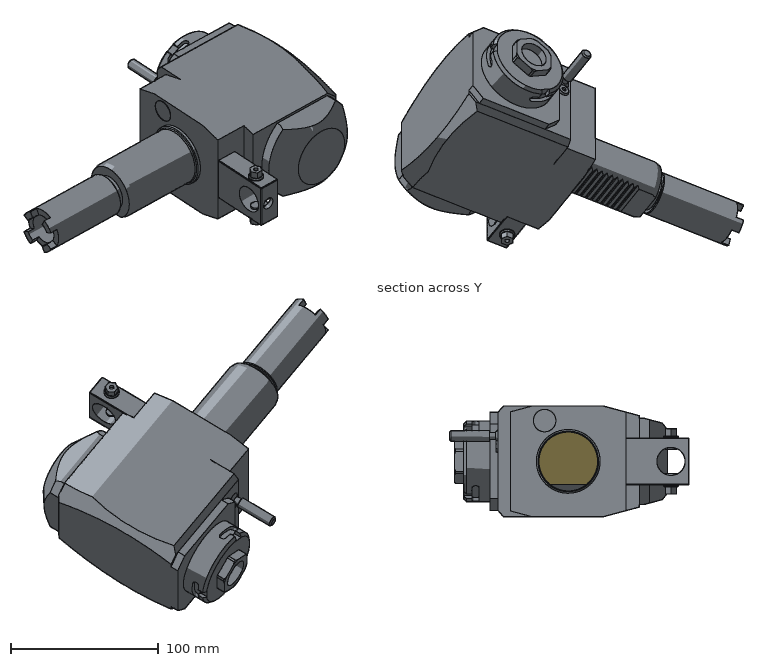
import cadquery as cq
import math


BODY_REAR = 103.25
BODY_HALF_HEIGHT = 37.5
BODY_LEFT = -47.5
BODY_RIGHT = 48.1
STEP_Y = 24.0
FOOT_HALF_WIDTH = 39.0
RIGHT_TAPER_START = 23.8
LEFT_TAPER_START = -24.4
TAPER_SLOPE = math.tan(math.radians(15))
LEFT_CHAMFER_X = 3.7
LEFT_CHAMFER_Z = 4.1
REAR_CHAMFER_X = 3.0
REAR_CHAMFER_Y = 3.5
REAR_CONE_X = -10.4
REAR_CONE_RADIUS = 135.0
REAR_CONE_REACH_Y = 98.85
PLUG_X = -16.0
PLUG_Z = 27.6
PLUG_RADIUS = 7.6
PLUG_RECESS = 0.3

SPINDLE_Y = 69.3
PLATE_LEFT = -53.0
PLATE_FRONT = 35.75
PLATE_CHAMFER = 8.2
NUT_LEFT = -70.8
NUT_RADIUS = 27.4
NUT_CHAMFER = 2.0
NUT_SLOT_COUNT = 3
NUT_SLOT_FLOOR = 24.8
NUT_NOTCH_WIDTH = 6.6
NUT_SLOT_X = -62.7
NUT_SLOT_WIDTH = 4.9
NUT_SLOT_SPAN = 42.0
NUT_SLOT_OFFSET = 2.2
HEX_LEFT = -77.0
HEX_ACROSS_FLATS = 26.8
HEX_CORNER_RADIUS = 15.0
HEX_CHAMFER = 0.8
HEX_BORE_RADIUS = 9.5
HEX_BORE_DEPTH = 6.0

CAP_RADIUS = 37.2
CAP_RIM_X = 55.0
CAP_RIGHT = 67.3
CAP_END_RADIUS = 21.3
CAP_HALF_HEIGHT = 29.2
CAP_TAPER_X = 51.5

NOZZLE_Y = 29.9
NOZZLE_Z = 17.2
NOZZLE_TIP_X = -80.5
NOZZLE_RADIUS = 3.6
NOZZLE_TIP_CHAMFER = 1.0
NOZZLE_SHOULDER_X = -53.4
NOZZLE_NECK_RADIUS = 2.5
NOZZLE_BASE_X = -49.3
NOZZLE_BASE_RADIUS = 4.3
SIDE_PLUG_Z = 10.2
SIDE_PLUG_RADIUS = 4.4
SIDE_PLUG_TOP_RADIUS = 3.7
SIDE_PLUG_HEIGHT = 1.3
SIDE_PLUG_SOCKET_RADIUS = 1.5

COLLAR_RADIUS = 21.6
COLLAR_END = -2.1
COLLAR_FOOT_RADIUS = 20.5
COLLAR_FOOT_Y = -2.5
COLLAR_TAPER_END = -3.5
SHANK_RADIUS = 20.0
SHANK_END = -63.0
SHANK_CHAMFER = 1.0
SHANK_CHAMFER_LENGTH = 3.4
SHANK_FLAT_Z = -15.7
FLAT_START = -4.0
FLAT_FULL = -9.9
TOOTH_GAP_COUNT = 10
TOOTH_PITCH = 4.0
TOOTH_GAP_FIRST = -11.4
TOOTH_GAP_HALF_WIDTH = 1.7
TOOTH_DEPTH = 1.5
NECK_RADIUS = 12.3
SHAFT_START = -66.9
SHAFT_RADIUS = 15.1
SHAFT_CHAMFER = 0.6
SHAFT_END = -130.0
CLAW_DEPTH = 5.6
CLAW_SLOT_COUNT = 4
CLAW_SLOT_HALF_ANGLE = 27.0
SHAFT_BORE_RADIUS = 10.4
SHAFT_BORE_DEPTH = 20.0

ARM_RIGHT = 81.83
ARM_HALF_HEIGHT = 15.9
ARM_FRONT = 0.5
ARM_REAR = 16.0
ARM_CHAMFER = 0.5
ARM_BORE_X = 69.5
ARM_BORE_RADIUS = 9.5
SCREW_Y = 7.0
ARM_END_HOLE_RADIUS = 4.2
SCREW_FLANGE_RADIUS = 5.2
SCREW_FLANGE_TOP = 17.3
SCREW_FLANGE_CHAMFER = 0.8
SCREW_HEAD_ACROSS_FLATS = 7.6
SCREW_TOP = 22.1
SCREW_SOCKET_RADIUS = 1.5
SCREW_SOCKET_DEPTH = 2.5
SCREW_SHANK_RADIUS = 3.7
SCREW_TIP = 8.1

OVERLAP = 2.0


def box(x0, x1, y0, y1, z0, z1):
    return cq.Workplane("XY").box(x1 - x0, y1 - y0, z1 - z0, centered=False).translate((x0, y0, z0))


def rod_x(x0, x1, y, z, radius):
    return cq.Workplane("YZ", origin=(x0, y, z)).circle(radius).extrude(x1 - x0)


def rod_y(y0, y1, x, z, radius):
    return cq.Workplane("XZ", origin=(x, y0, z)).circle(radius).extrude(y0 - y1)


def rod_z(z0, z1, radius):
    """Cylinder on the axis of the arm's clamping screws."""
    return cq.Workplane("XY", origin=(ARM_BORE_X, SCREW_Y, z0)).circle(radius).extrude(z1 - z0)


def turned_x(profile, y, z):
    """Revolve (x, radius) points about the line parallel to X through (y, z)."""
    points = [(profile[0][0], 0)] + profile + [(profile[-1][0], 0)]
    solid = cq.Workplane("XY").polyline(points).close().revolve(360, (0, 0, 0), (1, 0, 0))
    return solid.translate((0, y, z))


def turned_y(profile):
    """Revolve (radius, y) points about the Y axis."""
    points = [(0, profile[0][1])] + profile + [(0, profile[-1][1])]
    return cq.Workplane("XY").polyline(points).close().revolve(360, (0, 0, 0), (0, 1, 0))


def mirrored_prism(upper, y0, y1):
    """Extrude along Y an outline of (x, z) points given for its upper half, mirrored in Z = 0."""
    lower = [(x, -z) for x, z in reversed(upper)]
    return cq.Workplane("XZ", origin=(0, y0, 0)).polyline(upper + lower).close().extrude(y0 - y1)


def taper_height(x, start):
    """Height above Z = 0 of the sloping face that begins at start."""
    return BODY_HALF_HEIGHT - abs(x - start) * TAPER_SLOPE


def rear_envelope():
    """Double cone about a vertical axis; everything outside it is trimmed away."""
    waist = REAR_CONE_RADIUS + BODY_HALF_HEIGHT
    points = [
        (0, BODY_HALF_HEIGHT),
        (REAR_CONE_RADIUS, BODY_HALF_HEIGHT),
        (waist, 0),
        (REAR_CONE_RADIUS, -BODY_HALF_HEIGHT),
        (0, -BODY_HALF_HEIGHT),
    ]
    cone = cq.Workplane("XZ").polyline(points).close().revolve(360, (0, 0, 0), (0, 1, 0))
    return cone.translate((REAR_CONE_X, REAR_CONE_REACH_Y - REAR_CONE_RADIUS, 0))


def make_body():
    main = mirrored_prism([
        (BODY_LEFT, BODY_HALF_HEIGHT - LEFT_CHAMFER_Z),
        (BODY_LEFT + LEFT_CHAMFER_X, BODY_HALF_HEIGHT),
        (RIGHT_TAPER_START, BODY_HALF_HEIGHT),
        (BODY_RIGHT, taper_height(BODY_RIGHT, RIGHT_TAPER_START)),
    ], STEP_Y, BODY_REAR)
    foot = mirrored_prism([
        (-FOOT_HALF_WIDTH, taper_height(-FOOT_HALF_WIDTH, LEFT_TAPER_START)),
        (LEFT_TAPER_START, BODY_HALF_HEIGHT),
        (RIGHT_TAPER_START, BODY_HALF_HEIGHT),
        (FOOT_HALF_WIDTH, taper_height(FOOT_HALF_WIDTH, RIGHT_TAPER_START)),
    ], 0, STEP_Y)
    corner = [
        (BODY_RIGHT - REAR_CHAMFER_X, BODY_REAR),
        (BODY_RIGHT, BODY_REAR),
        (BODY_RIGHT, BODY_REAR - REAR_CHAMFER_Y),
    ]
    bevel = cq.Workplane("XY").polyline(corner).close().extrude(BODY_HALF_HEIGHT, both=True)
    recess = rod_y(0, PLUG_RECESS, PLUG_X, PLUG_Z, PLUG_RADIUS)
    return main.cut(bevel).intersect(rear_envelope()).union(foot).cut(recess)


def make_cap():
    cap = turned_x([
        (BODY_RIGHT - OVERLAP, CAP_RADIUS),
        (CAP_RIM_X, CAP_RADIUS),
        (CAP_RIGHT, CAP_END_RADIUS),
    ], SPINDLE_Y, 0)
    flats = mirrored_prism([
        (BODY_RIGHT - OVERLAP, CAP_HALF_HEIGHT),
        (CAP_TAPER_X, CAP_HALF_HEIGHT),
        (CAP_RIGHT, CAP_HALF_HEIGHT - (CAP_RIGHT - CAP_TAPER_X) * TAPER_SLOPE),
    ], SPINDLE_Y - CAP_RADIUS, BODY_REAR - REAR_CHAMFER_Y)
    return cap.intersect(flats)


def make_plate():
    half_height = BODY_HALF_HEIGHT - LEFT_CHAMFER_Z
    plate = box(PLATE_LEFT, BODY_LEFT, PLATE_FRONT, BODY_REAR, -half_height, half_height)
    return plate.edges("|X").chamfer(PLATE_CHAMFER)


def make_nut():
    """Round nut with bayonet slots: an axial notch from the face into a circumferential slot."""
    nut = turned_x([
        (NUT_LEFT, NUT_RADIUS - NUT_CHAMFER),
        (NUT_LEFT + NUT_CHAMFER, NUT_RADIUS),
        (PLATE_LEFT, NUT_RADIUS),
    ], 0, 0)
    half_width = NUT_SLOT_WIDTH / 2
    end_angle = NUT_SLOT_SPAN / 2 - math.degrees(math.asin(half_width / NUT_RADIUS))
    slot = (
        cq.Workplane("XY")
        .center(NUT_SLOT_X, (NUT_SLOT_FLOOR + NUT_RADIUS) / 2)
        .rect(NUT_SLOT_WIDTH, NUT_RADIUS - NUT_SLOT_FLOOR)
        .center(0, -(NUT_SLOT_FLOOR + NUT_RADIUS) / 2)
        .revolve(2 * end_angle, (0, 0, 0), (1, 0, 0))
        .rotate((0, 0, 0), (1, 0, 0), -end_angle)
    )
    slot_end = rod_y(NUT_SLOT_FLOOR, NUT_RADIUS, NUT_SLOT_X, 0, half_width)
    for angle in (-end_angle, end_angle):
        slot = slot.union(slot_end.rotate((0, 0, 0), (1, 0, 0), angle))
    slot = slot.rotate((0, 0, 0), (1, 0, 0), -NUT_SLOT_OFFSET)
    half_notch = NUT_NOTCH_WIDTH / 2
    notch = box(NUT_LEFT, NUT_SLOT_X, NUT_SLOT_FLOOR, NUT_RADIUS, -half_notch, half_notch)
    cutter = slot.union(notch)
    for i in range(NUT_SLOT_COUNT):
        nut = nut.cut(cutter.rotate((0, 0, 0), (1, 0, 0), i * 360 / NUT_SLOT_COUNT))
    return nut.translate((0, SPINDLE_Y, 0))


def make_hex():
    across_corners = HEX_ACROSS_FLATS / math.cos(math.pi / 6)
    length = NUT_LEFT - HEX_LEFT
    prism = (
        cq.Workplane("YZ", origin=(HEX_LEFT, 0, 0))
        .transformed(rotate=(0, 0, 90))
        .polygon(6, across_corners)
        .extrude(length)
        .translate((0, SPINDLE_Y, 0))
    )
    blank = turned_x([
        (HEX_LEFT, HEX_CORNER_RADIUS - HEX_CHAMFER),
        (HEX_LEFT + HEX_CHAMFER, HEX_CORNER_RADIUS),
        (NUT_LEFT, HEX_CORNER_RADIUS),
    ], SPINDLE_Y, 0)
    bore = rod_x(HEX_LEFT, HEX_LEFT + HEX_BORE_DEPTH, SPINDLE_Y, 0, HEX_BORE_RADIUS)
    return prism.intersect(blank).cut(bore)


def make_nozzle():
    return turned_x([
        (NOZZLE_TIP_X, NOZZLE_RADIUS - NOZZLE_TIP_CHAMFER),
        (NOZZLE_TIP_X + NOZZLE_TIP_CHAMFER, NOZZLE_RADIUS),
        (NOZZLE_SHOULDER_X, NOZZLE_RADIUS),
        (NOZZLE_SHOULDER_X, NOZZLE_NECK_RADIUS),
        (NOZZLE_BASE_X, NOZZLE_NECK_RADIUS),
        (BODY_LEFT, NOZZLE_BASE_RADIUS),
    ], NOZZLE_Y, NOZZLE_Z)


def make_side_plug():
    top = BODY_LEFT - SIDE_PLUG_HEIGHT
    plug = turned_x([
        (top, SIDE_PLUG_TOP_RADIUS),
        (BODY_LEFT, SIDE_PLUG_RADIUS),
    ], NOZZLE_Y, SIDE_PLUG_Z)
    return plug.cut(rod_x(top, BODY_LEFT, NOZZLE_Y, SIDE_PLUG_Z, SIDE_PLUG_SOCKET_RADIUS))


def cut_rack(shank):
    """Cut the clamping flat on the underside and its row of V-shaped tooth gaps."""
    half = SHANK_RADIUS
    outline = [
        (FLAT_START, -COLLAR_RADIUS),
        (FLAT_FULL, SHANK_FLAT_Z),
        (SHANK_END, SHANK_FLAT_Z),
        (SHANK_END, -COLLAR_RADIUS),
    ]
    shank = shank.cut(cq.Workplane("YZ").polyline(outline).close().extrude(half, both=True))
    for i in range(TOOTH_GAP_COUNT):
        y = TOOTH_GAP_FIRST - i * TOOTH_PITCH
        gap = [
            (y - TOOTH_GAP_HALF_WIDTH, SHANK_FLAT_Z),
            (y, SHANK_FLAT_Z + TOOTH_DEPTH),
            (y + TOOTH_GAP_HALF_WIDTH, SHANK_FLAT_Z),
        ]
        shank = shank.cut(cq.Workplane("YZ").polyline(gap).close().extrude(half, both=True))
    return shank


def make_shank():
    shank = turned_y([
        (COLLAR_RADIUS, OVERLAP),
        (COLLAR_RADIUS, COLLAR_END),
        (COLLAR_FOOT_RADIUS, COLLAR_FOOT_Y),
        (SHANK_RADIUS, COLLAR_TAPER_END),
        (SHANK_RADIUS, SHANK_END + SHANK_CHAMFER_LENGTH),
        (SHANK_RADIUS - SHANK_CHAMFER, SHANK_END),
    ])
    return cut_rack(shank)


def make_shaft():
    """Drive shaft with a coupling claw and a central bore at its free end."""
    shaft = turned_y([
        (NECK_RADIUS, SHANK_END + OVERLAP),
        (NECK_RADIUS, SHAFT_START),
        (SHAFT_RADIUS - SHAFT_CHAMFER, SHAFT_START),
        (SHAFT_RADIUS, SHAFT_START - SHAFT_CHAMFER),
        (SHAFT_RADIUS, SHAFT_END),
    ])
    shaft = shaft.cut(rod_y(SHAFT_END, SHAFT_END + SHAFT_BORE_DEPTH, 0, 0, SHAFT_BORE_RADIUS))
    reach = 2 * SHAFT_RADIUS
    half_width = reach * math.tan(math.radians(CLAW_SLOT_HALF_ANGLE))
    wedge = (
        cq.Workplane("XZ", origin=(0, SHAFT_END, 0))
        .polyline([(0, 0), (reach, half_width), (reach, -half_width)])
        .close()
        .extrude(-CLAW_DEPTH)
    )
    for i in range(CLAW_SLOT_COUNT):
        shaft = shaft.cut(wedge.rotate((0, 0, 0), (0, 1, 0), i * 360 / CLAW_SLOT_COUNT))
    return shaft


def make_screw():
    """Upper clamping screw of the arm; its inner end stands into the arm's bore."""
    shank = rod_z(SCREW_TIP, ARM_HALF_HEIGHT, SCREW_SHANK_RADIUS)
    flange = rod_z(ARM_HALF_HEIGHT, SCREW_FLANGE_TOP, SCREW_FLANGE_RADIUS)
    flange = flange.faces(">Z").edges().chamfer(SCREW_FLANGE_CHAMFER)
    head = (
        cq.Workplane("XY", origin=(ARM_BORE_X, SCREW_Y, SCREW_FLANGE_TOP))
        .transformed(rotate=(0, 0, 90))
        .polygon(6, SCREW_HEAD_ACROSS_FLATS / math.cos(math.pi / 6))
        .extrude(SCREW_TOP - SCREW_FLANGE_TOP)
    )
    socket = rod_z(SCREW_TOP - SCREW_SOCKET_DEPTH, SCREW_TOP, SCREW_SOCKET_RADIUS)
    return shank.union(flange).union(head).cut(socket)


def make_arm():
    arm = box(
        FOOT_HALF_WIDTH - OVERLAP, ARM_RIGHT,
        ARM_FRONT, ARM_REAR,
        -ARM_HALF_HEIGHT, ARM_HALF_HEIGHT,
    )
    arm = arm.edges("|X or >X").chamfer(ARM_CHAMFER)
    arm = arm.cut(rod_x(ARM_BORE_X, ARM_RIGHT, SCREW_Y, 0, ARM_END_HOLE_RADIUS))
    arm = arm.cut(rod_y(ARM_FRONT, ARM_REAR, ARM_BORE_X, 0, ARM_BORE_RADIUS))
    screw = make_screw()
    return arm.union(screw).union(screw.mirror("XY"))


result = make_body()
for piece in (
    make_cap(),
    make_plate(),
    make_nut(),
    make_hex(),
    make_nozzle(),
    make_side_plug(),
    make_shank(),
    make_shaft(),
    make_arm(),
):
    result = result.union(piece)